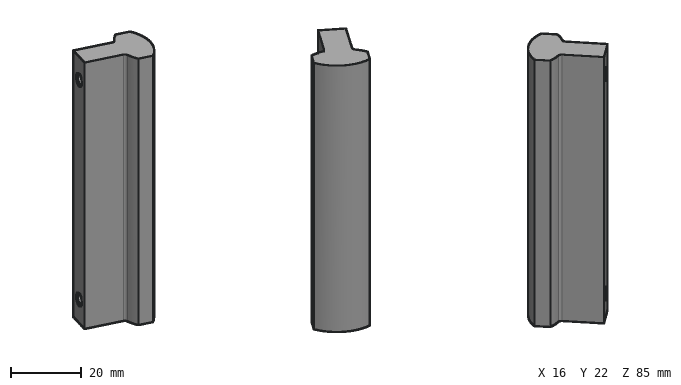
import cadquery as cq
import math

LENGTH = 85.0
HEAD_WIDTH = 16.0
DEPTH = 22.0

STEM_WIDTH = 8.0
CROWN_RADIUS = 13.0
HEAD_FLAT = 4.5
STEM_FILLET = 1.0

HOLE_DIAMETER = 3.2
COUNTERSINK_DIAMETER = 4.0
HOLE_DEPTH = 10.0
HOLE_SPACING = 70.0
LOWEST_HOLE_HEIGHT = 7.5
DRILL_POINT_ANGLE = 118.0

HEAD_HALF = HEAD_WIDTH / 2
STEM_HALF = STEM_WIDTH / 2
FRONT_Y = -DEPTH / 2
CROWN_Y = DEPTH / 2


def crown_drop(x):
    """Fall of the crown arc below its peak at a distance x from the centre."""
    return CROWN_RADIUS - math.sqrt(CROWN_RADIUS**2 - x**2)


SHOULDER_Y = CROWN_Y - crown_drop(HEAD_HALF)
UNDERSIDE_Y = SHOULDER_Y - HEAD_FLAT


def underside_y(x):
    """The underside of the head mirrors the crown arc."""
    return UNDERSIDE_Y - crown_drop(HEAD_HALF) + crown_drop(x)


def make_bar():
    neck_y = underside_y(STEM_HALF)
    middle_x = (HEAD_HALF + STEM_HALF) / 2
    middle_y = underside_y(middle_x)
    profile = (
        cq.Workplane("XY")
        .moveTo(-STEM_HALF, FRONT_Y)
        .lineTo(STEM_HALF, FRONT_Y)
        .lineTo(STEM_HALF, neck_y)
        .threePointArc((middle_x, middle_y), (HEAD_HALF, UNDERSIDE_Y))
        .lineTo(HEAD_HALF, SHOULDER_Y)
        .threePointArc((0, CROWN_Y), (-HEAD_HALF, SHOULDER_Y))
        .lineTo(-HEAD_HALF, UNDERSIDE_Y)
        .threePointArc((-middle_x, middle_y), (-STEM_HALF, neck_y))
        .close()
    )
    neck_corners = cq.selectors.BoxSelector(
        (-STEM_HALF - STEM_FILLET, neck_y - STEM_FILLET, 0),
        (STEM_HALF + STEM_FILLET, neck_y + STEM_FILLET, LENGTH),
    )
    return profile.extrude(LENGTH).edges("|Z").edges(neck_corners).fillet(STEM_FILLET)


def make_hole_cutter(height):
    """Drilled hole with a 45 degree countersink and a conical bottom."""
    radius = HOLE_DIAMETER / 2
    mouth_radius = COUNTERSINK_DIAMETER / 2
    countersink_end = FRONT_Y + mouth_radius - radius
    hole_end = FRONT_Y + HOLE_DEPTH
    point_length = radius / math.tan(math.radians(DRILL_POINT_ANGLE / 2))
    outline = [
        (0, FRONT_Y),
        (mouth_radius, FRONT_Y),
        (radius, countersink_end),
        (radius, hole_end),
        (0, hole_end + point_length),
    ]
    cutter = cq.Workplane("XY").polyline(outline).close().revolve(360, (0, 0), (0, 1))
    return cutter.translate((0, 0, height))


result = make_bar()
for hole_height in (LOWEST_HOLE_HEIGHT, LOWEST_HOLE_HEIGHT + HOLE_SPACING):
    result = result.cut(make_hole_cutter(hole_height))